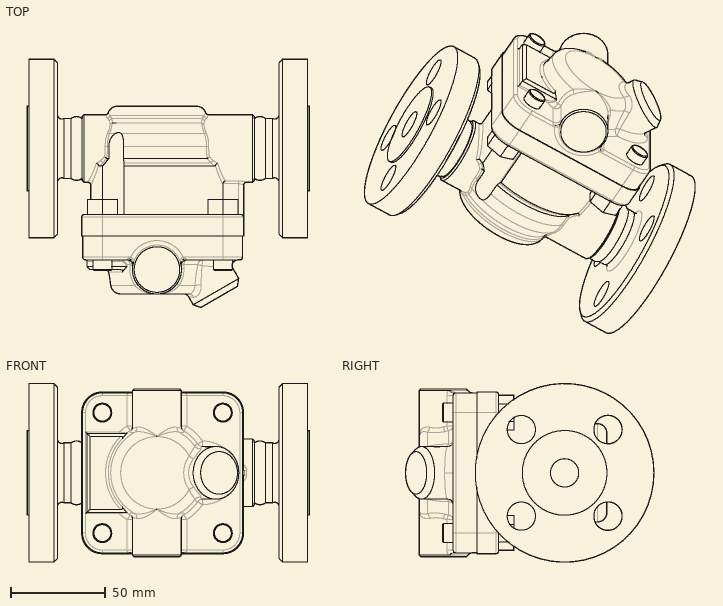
import cadquery as cq
import math

TOLERANCE = 0.02

LENGTH = 150.0
FLANGE_DIA = 95.0
RAISED_FACE_DIA = 45.0
RAISED_FACE_HEIGHT = 1.0
FLANGE_THICKNESS = 15.2
FLANGE_CHAMFER = 2.0
FLANGE_HOLE_DIA = 15.0
FLANGE_BOLT_CIRCLE = 65.0
BORE_DIA = 15.0
BORE_DEPTH = 30.0
PIPE_DIA = 36.0
PIPE_HALF_LENGTH = 45.3
PIPE_END_CHAMFER = 1.0
PIPE_BLEND = 1.5
NECK_DIA = 32.0
NECK_LENGTH = 3.7
NECK_BLEND = 3.5
WELD_HEIGHT = 1.0

BODY_X = -6.0
BODY_BACK_Y = 22.5
CAP_FACE_RADIUS = 21.0
CAP_RADIUS = 26.2
CAP_EDGE_Y = 17.5
CAP_END_Y = 16.0
NECK_Y = 13.6
NECK_RADIUS = 26.8
SHOULDER_RADIUS = 30.2
SHOULDER_Y = 8.0
UPPER_BODY_RADIUS = 32.2
UPPER_BODY_Y = 1.0
STEP_START_Y = -5.3
STEP_END_Y = -9.2
STEP_ROUND = 1.5
LOWER_BODY_RADIUS = 35.2

PLATE_X = -3.0
BOLT_SPACING = 64.0
PLATE_BACK_Y = -35.0
SEAM_Y = -46.5
COVER_FRONT_Y = -59.2
BODY_PLATE_SIDE = 86.0
COVER_SIDE = 85.0
PLATE_BACK_ROUND = 1.5
COVER_FRONT_ROUND = 1.5

BOLT_DIA = 10.0
BOLT_CHAMFER = 0.5
BOLT_END_Y = -64.8
BOLT_HEAD_FLATS = 16.0
BOLT_HEAD_BACK_Y = -27.0

GROOVE_RADIUS = 8.8
GROOVE_X = -32.4
GROOVE_Z = 28.3
GROOVE_END_Y = 10.0

LUG_END_X = 40.1
LUG_BACK_Y = -12.0
LUG_WIDTH = 8.0
LUG_ROUND = 2.7

DOME_FRONT_Y = -77.3
DOME_BASE_RADIUS = 27.0
DOME_FRONT_RADIUS = 23.8
DOME_ROUND = 5.4
COVER_BLEND = 3.0

BOSS_DIA = 26.0
BOSS_LENGTH = 89.2
BOSS_CHAMFER = 0.9

TILT_ANGLE = 30.0
TILTED_BOSS_DIA = 28.0
TILTED_BOSS_TIP_DIA = 22.6
TILTED_BOSS_CHAMFER_LENGTH = 3.3
TILTED_BOSS_LENGTH = 25.0
TILTED_BOSS_END_X = 27.0
PART_FRONT_Y = -84.54

PAD_LEFT_X = -43.2
PAD_HEIGHT = 42.0
PAD_FRONT_Y = -64.4
PAD_CHAMFER = 1.6
PAD_DOME_BLEND = 1.5
PAD_BASE_BLEND = 0.7


def cylinder_y(x, z, radius, y_start, y_end):
    """Cylinder parallel to Y between two Y positions."""
    length = y_end - y_start
    return cq.Workplane(cq.Solid.makeCylinder(radius, length, cq.Vector(x, y_start, z), cq.Vector(0, 1, 0)))


def bolt_centres():
    half = BOLT_SPACING / 2
    return [(PLATE_X + sx * half, sz * half) for sx in (-1, 1) for sz in (-1, 1)]


def pipe_end():
    """Inlet half of the pipe with its weld bead, neck and flange."""
    face_x = -LENGTH / 2
    front_x = face_x + RAISED_FACE_HEIGHT
    back_x = front_x + FLANGE_THICKNESS
    pipe_x = -PIPE_HALF_LENGTH
    weld_end_x = pipe_x - PIPE_END_CHAMFER / 2
    neck_start_x = back_x + NECK_BLEND
    weld_start_x = neck_start_x + NECK_LENGTH
    neck_r = NECK_DIA / 2
    pipe_r = PIPE_DIA / 2
    flange_r = FLANGE_DIA / 2
    blend_r = pipe_r
    profile = (
        cq.Workplane("XY")
        .moveTo(face_x, 0)
        .lineTo(face_x, RAISED_FACE_DIA / 2)
        .lineTo(front_x, RAISED_FACE_DIA / 2)
        .lineTo(front_x, flange_r)
        .lineTo(back_x - FLANGE_CHAMFER, flange_r)
        .lineTo(back_x, flange_r - FLANGE_CHAMFER)
        .lineTo(back_x, blend_r)
        .tangentArcPoint((neck_start_x, neck_r), relative=False)
        .lineTo(weld_start_x, neck_r)
        .threePointArc(((weld_start_x + weld_end_x) / 2, neck_r + WELD_HEIGHT), (weld_end_x, neck_r))
        .lineTo(weld_end_x, pipe_r - PIPE_END_CHAMFER)
        .lineTo(weld_end_x + PIPE_END_CHAMFER, pipe_r)
        .lineTo(0, pipe_r)
        .lineTo(0, 0)
        .close()
    )
    return profile.revolve(360, (0, 0, 0), (1, 0, 0))


def flange_cuts():
    """Bolt holes of the inlet flange and the blind bore behind its face."""
    start = cq.Workplane("YZ", origin=(-LENGTH / 2, 0, 0))
    bore = start.circle(BORE_DIA / 2).extrude(BORE_DEPTH)
    hole_pitch = FLANGE_BOLT_CIRCLE / math.sqrt(2)
    holes = (
        start.rect(hole_pitch, hole_pitch, forConstruction=True)
        .vertices()
        .circle(FLANGE_HOLE_DIA / 2)
        .extrude(RAISED_FACE_HEIGHT + FLANGE_THICKNESS)
    )
    return bore.union(holes)


def bolt_groove():
    """Round-bottomed groove parallel to Y, open away from the pipe axis."""
    opening = (
        cq.Workplane("XZ", origin=(GROOVE_X, GROOVE_END_Y, GROOVE_Z))
        .rect(2 * GROOVE_RADIUS, 2 * GROOVE_RADIUS)
        .extrude(GROOVE_END_Y - PLATE_BACK_Y)
        .translate((0, 0, GROOVE_RADIUS))
    )
    return cylinder_y(GROOVE_X, GROOVE_Z, GROOVE_RADIUS, PLATE_BACK_Y, GROOVE_END_Y).union(opening)


def trap_body():
    """Turned body: rounded cap, flared neck and a wider cylinder down to the body flange."""
    profile = (
        cq.Workplane("XY", origin=(BODY_X, 0, 0))
        .moveTo(0, BODY_BACK_Y)
        .lineTo(CAP_FACE_RADIUS, BODY_BACK_Y)
        .tangentArcPoint((CAP_RADIUS, CAP_EDGE_Y), relative=False)
        .lineTo(CAP_RADIUS, CAP_END_Y)
        .lineTo(NECK_RADIUS, NECK_Y)
        .lineTo(SHOULDER_RADIUS, SHOULDER_Y)
        .tangentArcPoint((UPPER_BODY_RADIUS, UPPER_BODY_Y), relative=False)
        .lineTo(UPPER_BODY_RADIUS, STEP_START_Y)
        .lineTo(LOWER_BODY_RADIUS - STEP_ROUND, STEP_END_Y + STEP_ROUND)
        .tangentArcPoint((LOWER_BODY_RADIUS, STEP_END_Y), relative=False)
        .lineTo(LOWER_BODY_RADIUS, PLATE_BACK_Y)
        .lineTo(0, PLATE_BACK_Y)
        .close()
    )
    body = profile.revolve(360, (0, 0, 0), (0, 1, 0))
    groove = bolt_groove()
    return body.cut(groove).cut(groove.mirror("XY"))


def rounded_plate(side, y_front, y_back):
    """Square plate facing Y, its rounded corners concentric with the bolts."""
    corner_radius = (side - BOLT_SPACING) / 2
    return (
        cq.Workplane("XZ", origin=(PLATE_X, y_back, 0))
        .rect(side, side)
        .extrude(y_back - y_front)
        .edges("|Y")
        .fillet(corner_radius)
    )


def body_plate():
    return rounded_plate(BODY_PLATE_SIDE, SEAM_Y, PLATE_BACK_Y).faces(">Y").edges().fillet(PLATE_BACK_ROUND)


def lug():
    start_x = BODY_X
    return (
        cq.Workplane("XY")
        .box(LUG_END_X - start_x, LUG_BACK_Y - SEAM_Y, LUG_WIDTH, centered=(False, False, True))
        .edges("|Y and >X")
        .fillet(LUG_ROUND)
        .translate((start_x, SEAM_Y, 0))
    )


def dome():
    """Tapered round dome with a rounded front edge."""
    return (
        cq.Workplane("XY", origin=(BODY_X, 0, 0))
        .moveTo(0, SEAM_Y)
        .lineTo(DOME_BASE_RADIUS, SEAM_Y)
        .lineTo(DOME_BASE_RADIUS, COVER_FRONT_Y)
        .lineTo(DOME_FRONT_RADIUS, DOME_FRONT_Y)
        .lineTo(0, DOME_FRONT_Y)
        .close()
        .revolve(360, (0, 0, 0), (0, 1, 0))
        .faces("<Y")
        .edges()
        .fillet(DOME_ROUND)
    )


def vertical_boss():
    boss_y = DOME_FRONT_Y + BOSS_DIA / 2
    return (
        cq.Workplane("XY", origin=(BODY_X, boss_y, -BOSS_LENGTH / 2))
        .circle(BOSS_DIA / 2)
        .extrude(BOSS_LENGTH)
        .faces("<Z or >Z")
        .edges()
        .chamfer(BOSS_CHAMFER)
    )


def tilted_boss():
    """Boss leaning from the cover towards the outlet, with a tapered tip."""
    tilt = math.radians(TILT_ANGLE)
    inward = cq.Vector(-math.sin(tilt), math.cos(tilt), 0)
    tip_radius = TILTED_BOSS_TIP_DIA / 2
    full_radius = TILTED_BOSS_DIA / 2
    tip = cq.Vector(TILTED_BOSS_END_X, PART_FRONT_Y + tip_radius * math.sin(tilt), 0)
    shoulder = tip + inward * TILTED_BOSS_CHAMFER_LENGTH
    nose = cq.Solid.makeCone(tip_radius, full_radius, TILTED_BOSS_CHAMFER_LENGTH, tip, inward)
    barrel = cq.Solid.makeCylinder(full_radius, TILTED_BOSS_LENGTH, shoulder, inward)
    return cq.Workplane(nose).union(cq.Workplane(barrel))


def nameplate_pad():
    return (
        cq.Workplane("XY")
        .box(BODY_X - PAD_LEFT_X, SEAM_Y - PAD_FRONT_Y, PAD_HEIGHT, centered=(False, False, True))
        .translate((PAD_LEFT_X, PAD_FRONT_Y, 0))
        .faces("<Y")
        .edges("<X or |X")
        .chamfer(PAD_CHAMFER)
    )


def lies_at_y(edge, y):
    """True for an edge that runs in one plane facing Y."""
    box = edge.BoundingBox()
    return max(abs(box.ymin - y), abs(box.ymax - y)) < TOLERANCE


def blend(part, is_crease, radius):
    """Round every edge of the part that the test picks out."""
    return part.newObject([edge for edge in part.edges().vals() if is_crease(edge)]).fillet(radius)


def is_cover_crease(edge):
    """True for the inner corners where dome, bosses and cover plate meet."""
    middle = edge.positionAt(0.5)
    inner_half = (COVER_SIDE + BOLT_SPACING) / 4
    if lies_at_y(edge, COVER_FRONT_Y):
        return max(abs(middle.x - PLATE_X), abs(middle.z)) < inner_half
    return edge.geomType() in ("BSPLINE", "ELLIPSE") and middle.y < COVER_FRONT_Y


def is_pad_dome_crease(edge):
    """True for the curved corner between the pad face and the dome."""
    return edge.geomType() != "LINE" and lies_at_y(edge, PAD_FRONT_Y) and edge.positionAt(0.5).x < BODY_X


def is_pad_base_crease(edge):
    """True for the straight corners between the pad sides and the cover plate."""
    on_pad = abs(edge.BoundingBox().zmax) < PAD_HEIGHT / 2 + TOLERANCE
    return edge.geomType() == "LINE" and lies_at_y(edge, COVER_FRONT_Y) and on_pad


def cover():
    """Cover plate with its blended dome and bosses, and the nameplate pad."""
    plate = rounded_plate(COVER_SIDE, COVER_FRONT_Y, SEAM_Y).faces("<Y").edges().fillet(COVER_FRONT_ROUND)
    casting = plate.union(dome()).union(vertical_boss()).union(tilted_boss())
    casting = blend(casting, is_cover_crease, COVER_BLEND).union(nameplate_pad())
    casting = blend(casting, is_pad_dome_crease, PAD_DOME_BLEND)
    return blend(casting, is_pad_base_crease, PAD_BASE_BLEND)


def bolt(x, z):
    """Bolt with a hexagonal head behind the body flange and its end ahead of the cover."""
    shank = cylinder_y(x, z, BOLT_DIA / 2, BOLT_END_Y, PLATE_BACK_Y).faces("<Y").chamfer(BOLT_CHAMFER)
    head = (
        cq.Workplane("XZ", origin=(x, BOLT_HEAD_BACK_Y, z))
        .polygon(6, BOLT_HEAD_FLATS, circumscribed=True)
        .extrude(BOLT_HEAD_BACK_Y - PLATE_BACK_Y)
    )
    return shank.union(head)


def is_pipe_crease(edge):
    """True for the curved corners where the body or the lug meets the pipe."""
    middle = edge.positionAt(0.5)
    distance = math.hypot(middle.y, middle.z)
    return edge.geomType() not in ("LINE", "CIRCLE") and abs(distance - PIPE_DIA / 2) < TOLERANCE


def body_casting():
    """Trap body blended into the flanged pipe and the lug, with the square body flange."""
    inlet = pipe_end()
    casting = trap_body().union(inlet).union(inlet.mirror("YZ")).union(lug())
    return blend(casting, is_pipe_crease, PIPE_BLEND).union(body_plate())


result = body_casting().union(cover())
for bolt_x, bolt_z in bolt_centres():
    result = result.union(bolt(bolt_x, bolt_z))
inlet_cuts = flange_cuts()
result = result.cut(inlet_cuts).cut(inlet_cuts.mirror("YZ"))